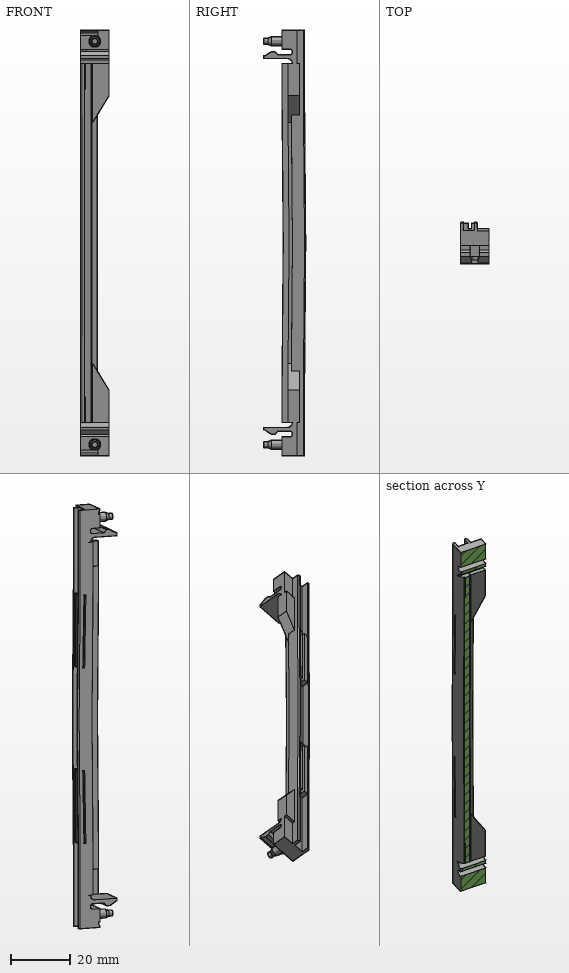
import cadquery as cq

length = 143.3
mid_z = length / 2
width = 9.7
depth = 14.2

bar_width = 5.7
rail_front_y = 6.2
bow = 0.37
bar_back_y = depth - bow
back_chamfer = 0.5
flank_front_y = 8.2
flank_back_y = 10.3
rail_left_x = 1.5
rail_right_x = 3.6
rail_shoulder = 0.5
ledge_y = 9.3
channel_left_x = 1.0
channel_right_x = 4.7
channel_floor_y = 11.3
flank_mid_point = (0.6, 9.0)

bow_top_z = 117.1
bow_bottom_z = length - bow_top_z

bar_top_z = 132.1
block_bottom_z = 136.9
block_back_y = 11.2
slot_floor_y = 9.6
wing_left_x = 4.2
wing_front_y = 8.2
wing_back_y = 12.0
wing_straight_z = 121.2
wing_tip_z = 112.2

rail_thin_z = 123.5
rail_thinning = 0.3

latch_bottom_z = 133.7
latch_top_z = latch_bottom_z + 1.36
latch_tip_top_z = latch_bottom_z + 1.0
latch_tip_y = 0.5
barb_top_z = latch_top_z + 1.0
barb_front_y = 2.6
barb_back_y = 3.9
barb_foot_y = 4.7
upper_slot_round = 0.7
pick_margin = 0.1
lower_slot_round = latch_bottom_z - bar_top_z

spigot_x = 4.9
spigot_z = 139.6
spigot_diameter = 3.2
spigot_shoulder_y = 2.6
tip_base_y = 1.5
tip_diameter = 2.1
tip_chamfer = 0.1
spigot_ring_diameter = 4.0
ring_depth = 0.3

groove_width = 6.0
groove_top_z = 143.0
groove_slope_z = 142.3
groove_bottom_z = 141.5
groove_depth = 0.5

lug_bottom_z = 89.3
lug_top_z = 114.2
lug_front_y = 11.9
lug_back_y = bar_back_y
lug_gap_left_x = 2.7
lug_gap_right_x = 3.7
side_slot_width = 0.7
slot_top_y = 11.3
slot_bottom_y = 11.8


def box(x0, x1, y0, y1, z0, z1):
    return cq.Workplane("XY").box(x1 - x0, y1 - y0, z1 - z0, centered=False).translate((x0, y0, z0))


def bar_section(z):
    """Closed outline of the bar, on a horizontal plane at height z."""
    return (
        cq.Workplane("XY", origin=(0, 0, z))
        .moveTo(0, flank_back_y)
        .lineTo(0, bar_back_y - back_chamfer)
        .lineTo(back_chamfer, bar_back_y)
        .lineTo(channel_left_x, bar_back_y)
        .lineTo(channel_left_x, channel_floor_y)
        .lineTo(channel_right_x, channel_floor_y)
        .lineTo(channel_right_x, bar_back_y)
        .lineTo(bar_width - back_chamfer, bar_back_y)
        .lineTo(bar_width, bar_back_y - back_chamfer)
        .lineTo(bar_width, ledge_y)
        .lineTo(rail_right_x + rail_shoulder, ledge_y)
        .lineTo(rail_right_x + rail_shoulder, flank_front_y)
        .lineTo(rail_right_x, flank_front_y)
        .lineTo(rail_right_x, rail_front_y)
        .lineTo(rail_left_x, rail_front_y)
        .lineTo(rail_left_x, flank_front_y)
        .threePointArc(flank_mid_point, (0, flank_back_y))
        .close()
    )


def bowed_bar():
    half_span = bow_top_z - mid_z
    path = (
        cq.Workplane("YZ", origin=(0, 0, mid_z))
        .spline([(0, -half_span), (bow, 0), (0, half_span)], tangents=[(0, 1), (0, 1)])
    )
    return bar_section(bow_bottom_z).sweep(path)


def end_block():
    """Straight bar end, solid block, and the web behind the latch slots."""
    block = box(0, width, rail_front_y, block_back_y, block_bottom_z, length)
    web = box(0, width, slot_floor_y, block_back_y, bar_top_z, block_bottom_z)
    upper_bar = bar_section(bow_top_z).extrude(length - bow_top_z)
    slots = box(0, width, 0, slot_floor_y, bar_top_z, block_bottom_z)
    thinning = box(0, rail_left_x + rail_thinning, rail_front_y, flank_front_y, rail_thin_z, bar_top_z)
    body = upper_bar.cut(slots).cut(thinning).union(block).union(web)
    slot_corner = cq.selectors.BoxSelector(
        (0, slot_floor_y - pick_margin, block_bottom_z - pick_margin),
        (width, slot_floor_y + pick_margin, block_bottom_z + pick_margin),
    )
    return body.cut(front_groove()).edges(slot_corner).fillet(upper_slot_round)


def front_groove():
    """Groove with a flat bottom edge and a sloping upper side."""
    inner_y = rail_front_y + groove_depth
    return (
        cq.Workplane("YZ")
        .moveTo(rail_front_y, groove_top_z)
        .lineTo(inner_y, groove_slope_z)
        .lineTo(inner_y, groove_bottom_z)
        .lineTo(rail_front_y, groove_bottom_z)
        .close()
        .extrude(groove_width)
    )


def latch():
    """Barbed arm across the full width, rounded into the web at its root."""
    return (
        cq.Workplane("YZ")
        .moveTo(0, latch_bottom_z)
        .lineTo(0, latch_tip_top_z)
        .lineTo(latch_tip_y, latch_tip_top_z)
        .lineTo(barb_front_y, barb_top_z)
        .lineTo(barb_back_y, barb_top_z)
        .lineTo(barb_foot_y, latch_top_z)
        .lineTo(slot_floor_y - upper_slot_round, latch_top_z)
        .radiusArc((slot_floor_y, latch_top_z + upper_slot_round), -upper_slot_round)
        .lineTo(slot_floor_y, latch_bottom_z - lower_slot_round)
        .radiusArc((slot_floor_y - lower_slot_round, latch_bottom_z), -lower_slot_round)
        .close()
        .extrude(width)
    )


def wing():
    return (
        cq.Workplane("XZ", origin=(0, wing_front_y, 0))
        .moveTo(wing_left_x, bar_top_z)
        .lineTo(width, bar_top_z)
        .lineTo(width, wing_straight_z)
        .lineTo(wing_left_x, wing_tip_z)
        .close()
        .extrude(wing_front_y - wing_back_y)
        .cut(box(0, bar_width, channel_floor_y, wing_back_y, wing_tip_z, bar_top_z))
    )


def forward_cylinder(diameter, back_y, front_y):
    """Cylinder on the spigot axis, running towards -Y."""
    return (
        cq.Workplane("XZ", origin=(spigot_x, back_y, spigot_z))
        .circle(diameter / 2)
        .extrude(back_y - front_y)
    )


def spigot():
    """Stepped pin: full-size body, tapering neck and slimmer tip."""
    root_y = rail_front_y + ring_depth
    body = forward_cylinder(spigot_diameter, root_y, spigot_shoulder_y)
    neck = (
        cq.Workplane("XZ", origin=(spigot_x, spigot_shoulder_y, spigot_z))
        .circle(spigot_diameter / 2)
        .workplane(offset=spigot_shoulder_y - tip_base_y)
        .circle(tip_diameter / 2)
        .loft()
    )
    tip = forward_cylinder(tip_diameter, tip_base_y, 0).faces("<Y").chamfer(tip_chamfer)
    return body.union(neck).union(tip)


def lugs():
    left = box(0, lug_gap_left_x, lug_front_y, lug_back_y, lug_bottom_z, lug_top_z)
    right = box(lug_gap_right_x, channel_right_x, lug_front_y, lug_back_y, lug_bottom_z, lug_top_z)
    floor = box(0, channel_right_x, channel_floor_y, lug_front_y, lug_bottom_z, lug_top_z)
    keep_inside = box(channel_left_x, channel_right_x, 0, bar_back_y, 0, length)
    return left.union(right).union(floor).intersect(keep_inside)


def side_slot():
    """Slot through the left wall, leaning back with the bow of the bar."""
    return (
        cq.Workplane("YZ")
        .moveTo(slot_top_y, lug_top_z)
        .lineTo(slot_top_y + side_slot_width, lug_top_z)
        .lineTo(slot_bottom_y + side_slot_width, lug_bottom_z)
        .lineTo(slot_bottom_y, lug_bottom_z)
        .close()
        .extrude(channel_left_x)
    )


def mirrored(body):
    return body.mirror("XY", (0, 0, mid_z))


ring = forward_cylinder(spigot_ring_diameter, rail_front_y + ring_depth, rail_front_y)
upper_end = end_block().cut(ring).union(latch()).union(wing()).union(spigot())

result = bowed_bar().union(upper_end).union(mirrored(upper_end))
for slot, lug in ((side_slot(), lugs()), (mirrored(side_slot()), mirrored(lugs()))):
    result = result.cut(slot).union(lug)